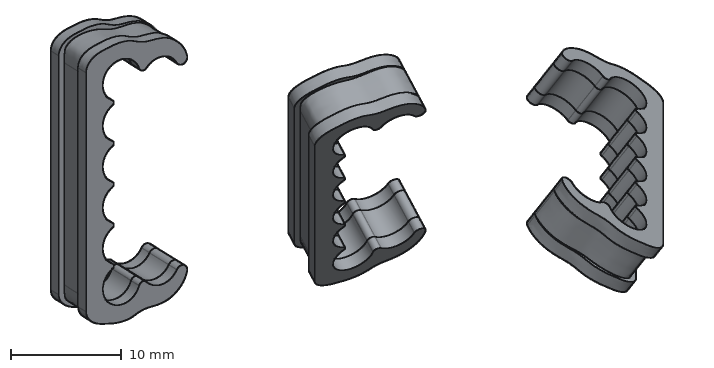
import cadquery as cq
import math


height = 27.8
total_width = 5.7
plate_width = 1.3
core_width = total_width - 2 * plate_width

scallop_radius = 2.03
scallop_pitch = 4.05
scallop_y = 3.86
scallops_per_half = 3
tooth_radius = 0.28
lead_in_center = (8.12, 9.29)
nub_radius = 0.47

tip_radius = 0.6
tip_y = 10.42
tip_start_angle = 25.0

plate_back_y = 0.0
plate_flat_end = 11.87
plate_curve = [
    (0.05, 12.23),
    (0.25, 12.65),
    (0.72, 13.12),
    (2.17, 13.68),
    (3.78, height / 2),
    (5.1, 13.7),
    (5.7, 13.45),
    (6.53, 13.25),
    (7.65, 13.23),
    (9.04, 12.95),
    (10.05, 12.3),
    (10.73, 11.45),
]

core_back_y = 0.58
core_flat_end = 11.05
core_curve = [
    (0.6, 11.68),
    (0.75, 12.45),
    (1.17, 12.9),
    (2.03, 13.3),
    (3.2, 13.45),
    (4.73, 13.3),
    (5.67, 13.05),
    (6.53, 12.98),
    (7.92, 13.0),
    (9.04, 12.8),
    (10.0, 12.18),
    (10.7, 11.4),
]


def point_toward(center, target, distance):
    """Point at a distance from center in the direction of target."""
    angle = math.atan2(target[1] - center[1], target[0] - center[0])
    return point_at(center, angle, distance)


def point_at(center, angle, distance):
    return (center[0] + distance * math.cos(angle), center[1] + distance * math.sin(angle))


def arc_between(center, start, end):
    """Middle and end points of the counterclockwise arc from start to end."""
    start_angle = math.atan2(start[1] - center[1], start[0] - center[0])
    end_angle = math.atan2(end[1] - center[1], end[0] - center[0])
    sweep = (end_angle - start_angle) % (2 * math.pi)
    middle = point_at(center, start_angle + sweep / 2, math.dist(center, start))
    return middle, end


scallop_centers = [(scallop_y, (i + 0.5) * scallop_pitch) for i in range(scallops_per_half)]
tooth_reach = scallop_radius + tooth_radius
tooth_y = scallop_y - math.sqrt(tooth_reach**2 - (scallop_pitch / 2) ** 2)
tooth_centers = [(tooth_y, i * scallop_pitch) for i in range(scallops_per_half)]

last_scallop = scallop_centers[-1]
nub_reach = scallop_radius + nub_radius
half_gap = math.dist(last_scallop, lead_in_center) / 2
gap_angle = math.atan2(lead_in_center[1] - last_scallop[1], lead_in_center[0] - last_scallop[0])
nub_center = point_at(last_scallop, gap_angle + math.acos(half_gap / nub_reach), nub_reach)

tip_rise = math.sqrt((scallop_radius + tip_radius) ** 2 - (tip_y - lead_in_center[0]) ** 2)
tip_center = (tip_y, lead_in_center[1] + tip_rise)
tip_start = point_at(tip_center, math.radians(tip_start_angle), tip_radius)


def add_inner_edge(path):
    """Draw from the outer side of the tip along the inner edge down to Z = 0."""
    tip_end = point_toward(tip_center, lead_in_center, tip_radius)
    tip_bottom = (tip_center[0], tip_center[1] - tip_radius)
    path = path.threePointArc(tip_bottom, tip_end)
    nub_start = point_toward(nub_center, lead_in_center, nub_radius)
    path = path.threePointArc(*arc_between(lead_in_center, tip_end, nub_start))
    nub_end = point_toward(nub_center, last_scallop, nub_radius)
    nub_bottom = (nub_center[0], nub_center[1] - nub_radius)
    path = path.threePointArc(nub_bottom, nub_end)

    scallop_start = nub_end
    for i in reversed(range(scallops_per_half)):
        scallop = scallop_centers[i]
        tooth = tooth_centers[i]
        tooth_start = point_toward(tooth, scallop, tooth_radius)
        path = path.threePointArc(*arc_between(scallop, scallop_start, tooth_start))
        tooth_crest = (tooth[0] + tooth_radius, tooth[1])
        if i > 0:
            tooth_end = point_toward(tooth, scallop_centers[i - 1], tooth_radius)
            path = path.threePointArc(tooth_crest, tooth_end)
            scallop_start = tooth_end
        else:
            path = path.threePointArc(arc_between(tooth, tooth_crest, tooth_start)[0], tooth_crest)
    return path


def make_layer(back_y, flat_end, curve, width, x_start):
    """Extrude the upper half outline along X and mirror it about Z = 0."""
    outer_edge = (
        cq.Workplane("YZ")
        .moveTo(back_y, 0)
        .lineTo(back_y, flat_end)
        .spline([*curve, tip_start], includeCurrent=True)
    )
    upper = add_inner_edge(outer_edge).close().extrude(width)
    return upper.union(upper.mirror("XY")).clean().translate((x_start, 0, 0))


def make_side_plate(x_start):
    return make_layer(plate_back_y, plate_flat_end, plate_curve, plate_width, x_start)


def make_core():
    return make_layer(core_back_y, core_flat_end, core_curve, core_width, -core_width / 2)


core = make_core()
side_plates = [make_side_plate(x_start) for x_start in (-total_width / 2, core_width / 2)]

result = cq.Compound.makeCompound([core.val(), *[plate.val() for plate in side_plates]])